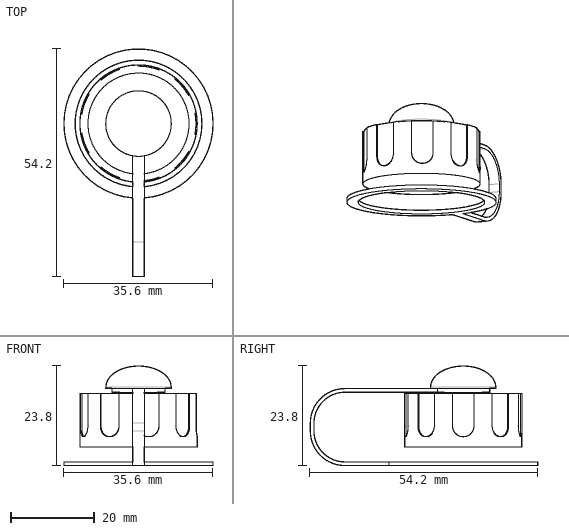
import cadquery as cq

ring_radius = 17.8
ring_width = 2.7
strap_thickness = 0.9
strap_width = 2.8

strap_end_y = -36.4
strap_top = 18.4
bend_radius = 8.25
collar_radius = 6.35

cap_radius = 14.0
cap_bottom = 4.45
cap_top = 17.2
recess_radius = 12.05
recess_depth = 2.5

flute_count = 9
flute_width = 5.1
flute_depth = 0.3
flute_bottom = 6.9

neck_radius = 4.5
button_radius = 7.8
button_rim = 0.3
button_top = 23.75


def disc(radius, bottom, top):
    return cq.Workplane("XY").workplane(offset=bottom).circle(radius).extrude(top - bottom)


def make_cap():
    cap = disc(cap_radius, cap_bottom, cap_top)
    cap = cap.cut(disc(recess_radius, cap_top - recess_depth, cap_top))
    half_width = flute_width / 2
    arc_height = flute_bottom + half_width
    cutter = (
        cq.Workplane("YZ")
        .workplane(offset=recess_radius)
        .moveTo(-half_width, cap_top)
        .lineTo(-half_width, arc_height)
        .threePointArc((0, flute_bottom), (half_width, arc_height))
        .lineTo(half_width, cap_top)
        .close()
        .extrude(cap_radius - recess_radius + flute_depth)
        .cut(disc(cap_radius - flute_depth, cap_bottom, cap_top))
    )
    for index in range(flute_count):
        angle = index * 360 / flute_count
        cap = cap.cut(cutter.rotate((0, 0, 0), (0, 0, 1), angle))
    return cap


def make_button():
    rim_top = strap_top + button_rim
    neck = disc(neck_radius, cap_top - recess_depth, strap_top)
    rim = disc(button_radius, strap_top, rim_top)
    dome = (
        cq.Workplane("XZ")
        .moveTo(0, rim_top)
        .lineTo(button_radius, rim_top)
        .ellipseArc(button_radius, button_top - rim_top, 0, 90, startAtCurrent=True)
        .close()
        .revolve(360, (0, 0, 0), (0, 1, 0))
    )
    return neck.union(rim).union(dome)


def strap_side(inset, start_y):
    """Side profile of the strap loop, moved inward by inset."""
    return (
        cq.Workplane("YZ")
        .workplane(offset=-strap_width / 2)
        .moveTo(start_y, inset)
        .lineTo(strap_end_y + inset, inset)
        .lineTo(strap_end_y + inset, strap_top - inset)
        .lineTo(start_y, strap_top - inset)
        .close()
        .extrude(strap_width)
        .edges("|X and <Y")
        .fillet(bend_radius - inset)
    )


def make_strap():
    leg_start = -ring_radius + ring_width / 2
    loop = strap_side(0, leg_start).cut(strap_side(strap_thickness, leg_start))
    collar_bottom = strap_top - strap_thickness
    upper_leg = (
        cq.Workplane("XY")
        .workplane(offset=collar_bottom)
        .center(0, leg_start / 2)
        .rect(strap_width, -leg_start)
        .extrude(strap_thickness)
    )
    collar = disc(collar_radius, collar_bottom, strap_top)
    ring = disc(ring_radius, 0, strap_thickness)
    ring = ring.cut(disc(ring_radius - ring_width, 0, strap_thickness))
    return loop.union(upper_leg).union(collar).union(ring)


result = make_cap().union(make_button()).union(make_strap())